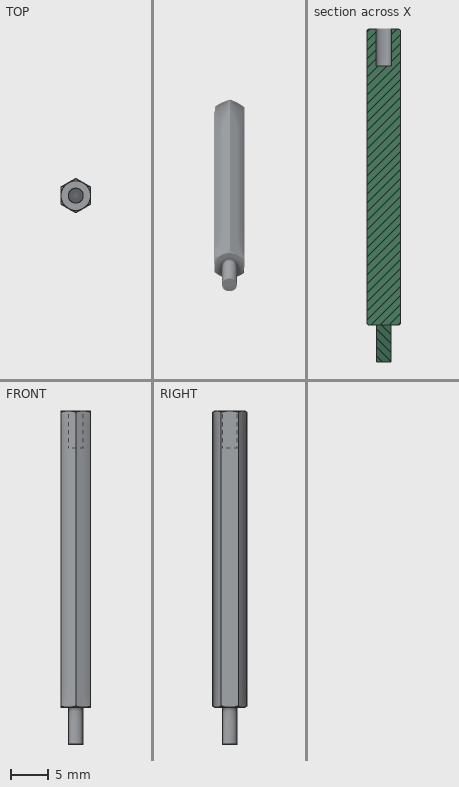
import cadquery as cq
import math

across_flats = 4.0
spacer_length = 40.0
across_corners = across_flats / math.cos(math.radians(30))
corner_chamfer_angle = 30.0

stud_diameter = 2.0
stud_length = 5.0
hole_diameter = stud_diameter
hole_depth = stud_length


def make_chamfer_envelope():
    """Round bar with coned ends that trims the hexagon's corners down to its inscribed circle."""
    flat_radius = across_flats / 2
    corner_radius = across_corners / 2
    chamfer_width = corner_radius - flat_radius
    chamfer_height = chamfer_width * math.tan(math.radians(corner_chamfer_angle))
    return (
        cq.Workplane("XY")
        .circle(corner_radius)
        .extrude(spacer_length)
        .faces("<Z or >Z")
        .chamfer(chamfer_height, chamfer_width)
    )


def make_spacer():
    """Hexagonal bar with two flats facing +X and -X, chamfered corners and a hole in its top."""
    hexagon = (
        cq.Workplane("XY")
        .transformed(rotate=(0, 0, 90))
        .polygon(6, across_corners)
        .extrude(spacer_length)
    )
    hole = (
        cq.Workplane("XY", origin=(0, 0, spacer_length - hole_depth))
        .circle(hole_diameter / 2)
        .extrude(hole_depth)
    )
    return hexagon.intersect(make_chamfer_envelope()).cut(hole)


def make_stud():
    """Plain round stud that hangs from the spacer's bottom face."""
    return cq.Workplane("XY").circle(stud_diameter / 2).extrude(-stud_length)


spacer = make_spacer()
stud = make_stud()

result = cq.Compound.makeCompound([spacer.val(), stud.val()])